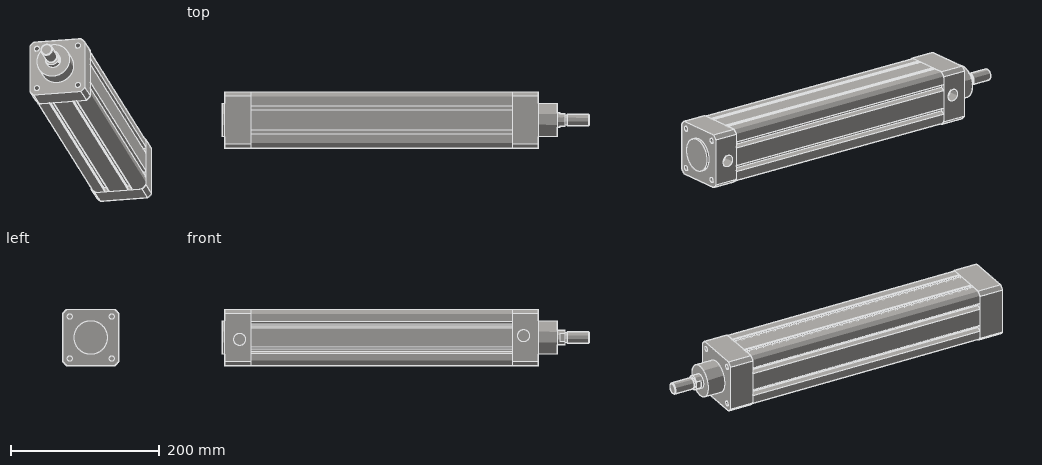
import cadquery as cq


section = 76.0
half_section = section / 2

cap_length = 35.0
barrel_length = 352.0
rear_spigot_length = 3.5
front_boss_length = 25.5
rod_projection = 43.0

barrel_start = cap_length
front_cap_start = barrel_start + barrel_length
front_cap_face = front_cap_start + cap_length
boss_face = front_cap_face + front_boss_length

cap_corner_diameter = 100.0
boss_diameter = 45.0
port_diameter = 16.2
port_depth = 16.0
port_inset = 20.0
port_offset = 2.5
screw_hole_diameter = 7.0
screw_hole_depth = 16.0
screw_pitch = 56.5

barrel_corner_radius = 10.0
side_groove_depth = 6.0
side_groove_offset = 17.0
side_groove_mouth = 8.5
side_groove_floor = 3.0
t_slot_offset = 16.0
t_slot_depth = 6.0
t_slot_lip = 1.5
t_slot_mouth_width = 5.5
t_slot_cavity_width = 8.0

rod_diameter = 20.0
rod_shoulder_length = 10.5
flats_start = 3.5
flats_width = 17.0
thread_diameter = 16.0
thread_chamfer = 1.0
relief_diameter = thread_diameter - 2 * thread_chamfer
relief_length = 2.2


def x_cylinder(x_start, length, diameter):
    """Cylinder on the X axis."""
    return cq.Workplane("YZ", origin=(x_start, 0, 0)).circle(diameter / 2).extrude(length)


def make_cap(x_start, outer_face, inward, port_z):
    """Square block with its corners turned to a circle about the axis.

    A port enters the -Y side and four screw holes enter the outer face.
    inward is the X direction (+1 or -1) from the outer face into the cap.
    """
    cap = (
        cq.Workplane("YZ", origin=(x_start, 0, 0))
        .rect(section, section)
        .extrude(cap_length)
        .intersect(x_cylinder(x_start, cap_length, cap_corner_diameter))
    )
    port_x = outer_face + inward * port_inset
    port = (
        cq.Workplane("XZ", origin=(port_x, -half_section, port_z))
        .circle(port_diameter / 2)
        .extrude(-port_depth)
    )
    screw_holes = (
        cq.Workplane("YZ", origin=(outer_face, 0, 0))
        .rect(screw_pitch, screw_pitch, forConstruction=True)
        .vertices()
        .circle(screw_hole_diameter / 2)
        .extrude(inward * screw_hole_depth)
    )
    return cap.cut(port).cut(screw_holes)


def make_rear_cap():
    """Cap with a short centring spigot behind it."""
    cap = make_cap(0, 0, 1, -port_offset)
    return cap.union(x_cylinder(-rear_spigot_length, rear_spigot_length, boss_diameter))


def make_front_cap():
    """Cap with the long rod-bearing boss in front of it."""
    cap = make_cap(front_cap_start, front_cap_face, -1, port_offset)
    return cap.union(x_cylinder(front_cap_face, front_boss_length, boss_diameter))


def barrel_profile():
    """Sketch plane of the barrel cross-section: local x is Y, local y is Z."""
    return cq.Workplane("YZ", origin=(barrel_start, 0, 0))


def make_side_groove(y_side, z_side):
    """Tapered groove in a +-Y face, narrowing towards its floor."""
    mouth = y_side * half_section
    floor = y_side * (half_section - side_groove_depth)
    z_mid = z_side * side_groove_offset
    outline = [
        (mouth, z_mid - side_groove_mouth / 2),
        (mouth, z_mid + side_groove_mouth / 2),
        (floor, z_mid + side_groove_floor / 2),
        (floor, z_mid - side_groove_floor / 2),
    ]
    return barrel_profile().polyline(outline).close().extrude(barrel_length)


def make_t_slot(y_side, z_side):
    """T-slot in a +-Z face: narrow mouth between lips over a wider cavity."""
    y_mid = y_side * t_slot_offset
    mouth_z = z_side * (half_section - t_slot_lip / 2)
    cavity_depth = t_slot_depth - t_slot_lip
    cavity_z = z_side * (half_section - t_slot_lip - cavity_depth / 2)
    mouth = (
        barrel_profile()
        .center(y_mid, mouth_z)
        .rect(t_slot_mouth_width, t_slot_lip)
        .extrude(barrel_length)
    )
    cavity = (
        barrel_profile()
        .center(y_mid, cavity_z)
        .rect(t_slot_cavity_width, cavity_depth)
        .extrude(barrel_length)
    )
    return mouth.union(cavity)


def make_barrel():
    """Rounded square bar with two tapered grooves per +-Y face and two T-slots per +-Z face."""
    barrel = barrel_profile().rect(section, section).extrude(barrel_length)
    barrel = barrel.edges("|X").fillet(barrel_corner_radius)
    for y_side in (-1, 1):
        for z_side in (-1, 1):
            barrel = barrel.cut(make_side_groove(y_side, z_side))
            barrel = barrel.cut(make_t_slot(y_side, z_side))
    return barrel


def make_rod():
    """Rod end: shoulder with two wrench flats, relief neck and chamfered thread."""
    shoulder_end = boss_face + rod_shoulder_length
    thread_start = shoulder_end + relief_length
    thread_end = boss_face + rod_projection
    flats_length = rod_shoulder_length - flats_start
    shoulder = x_cylinder(boss_face, flats_start, rod_diameter)
    flats_block = cq.Workplane("XY").box(flats_length, flats_width, rod_diameter)
    flats_block = flats_block.translate((shoulder_end - flats_length / 2, 0, 0))
    flatted = x_cylinder(boss_face + flats_start, flats_length, rod_diameter).intersect(flats_block)
    neck = x_cylinder(shoulder_end, relief_length, relief_diameter)
    thread = x_cylinder(thread_start, thread_end - thread_start, thread_diameter)
    thread = thread.faces("<X or >X").chamfer(thread_chamfer)

    rod = shoulder
    for segment in (flatted, neck, thread):
        rod = rod.union(segment, clean=False)
    return rod


rear_cap = make_rear_cap()
barrel = make_barrel()
front_cap = make_front_cap()
rod = make_rod()

result = cq.Compound.makeCompound([rear_cap.val(), barrel.val(), front_cap.val(), rod.val()])